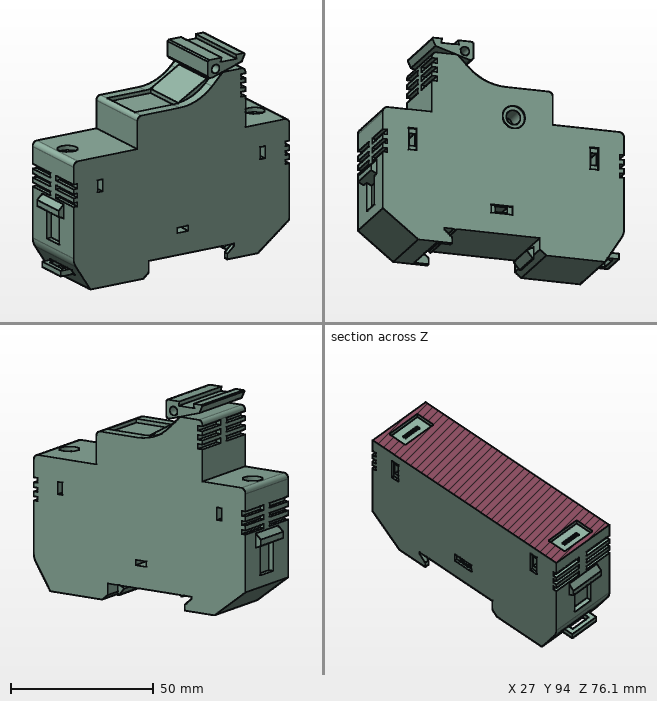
import cadquery as cq
import math


width = 27.0
half_length = 44.8
shelf_z = 48.6
tower_front_y = -18.3
tower_back_y = 26.6
deck_z = 60.7
crest_z = 70.7
ramp_top_y = 17.1
ramp_end_y = -0.75
shelf_edge_radius = 1.9
tower_edge_radius = 1.7
front_bevel_radius = 6.0

front_bevel_z = 11.1
front_bevel_y = -37.8
rear_bevel_z = 11.0
rear_bevel_y = 31.7
rear_foot_z = 0.8

rail_z = 6.2
seat_front_y = -13.5
seat_back_y = 22.0
hook_tip_y = 19.1
hook_tip_z = 3.0
hook_root_z = 5.5
foot_chamfer_y = -15.9
foot_chamfer_z = 2.0
hook_prong = 1.9
hook_gap_back_y = 24.4
rib_y = 17.9
rib_size = 0.6

wedge_width = 18.2
wedge_front_y = 1.4
wedge_front_z = 60.9
wedge_neck_y = 13.3
wedge_neck_z = 67.8
wedge_neck_top_z = 69.6
deck_recess_depth = 1.4
handle_width = 26.6
handle_top_z = 76.1
handle_bottom_z = 69.4
handle_front_y = 11.1
handle_heel_y = 12.8
handle_bevel = 0.6
handle_bottom_bevel = 0.75
groove_floor_z = 74.5
groove_front_y = 16.7
groove_back_y = 22.75
groove_undercut = 0.3
lip_root_y = 25.2
lip_root_z = 73.1
lip_tip_y = 26.4
lip_bevel = 0.4
pin_y = 14.3
pin_z = 72.4
pin_hole_radius = 1.6

vent_web = 3.8
vent_pitch = 3.3
vent_count = 3
vent_top_height = 1.8
tower_vent_z = 60.2
tower_vent_height = 1.8
tower_vent_depth = 1.9
end_vent_z = 31.9
end_vent_height = 1.5
end_vent_depth = 1.6

clip_width = 14.1
clip_y = 47.0
clip_top_z = 31.0
clip_nose_top_z = 29.0
clip_nose_bottom_z = 26.8
clip_root_bottom_z = 24.9
window_width = 8.1
window_bottom_z = 15.2
window_top_z = 26.3
window_depth = 1.9

screw_y = 38.8
screw_hole_radius = 3.6
screw_cover = 1.7
chamber_width = 14.1
chamber_length = 7.7
chamber_depth = 4.5
driver_slot_width = 1.3
driver_slot_length = 7.1
driver_slot_depth = 0.9

side_recess_long = 8.1
side_recess_short = 3.1
side_recess_depth = 0.9
side_hole_long = 4.5
side_hole_short = 2.0
upper_recess_y = 33.7
upper_recess_z = 37.8
lower_recess_y = 0.6
lower_recess_z = 15.2
lower_hole_shift = 0.2

pivot_y = -3.9
pivot_z = 49.9
pivot_outer_radius = 4.1
pivot_inner_radius = 2.6
pivot_outer_depth = 0.6
pivot_inner_depth = 9.4

latch_width = 14.1
latch_opening_bottom_z = 4.0
latch_opening_back_y = -39.0
latch_tab_width = 12.1
latch_tab_end_y = -45.5
latch_tab_thickness = 2.1
latch_slot_length = 8.1
latch_bar = 1.8
latch_nose_top_z = 5.0
latch_nose_tip_y = -10.8
latch_nose_tip_z = 3.4
latch_nose_heel_y = -13.1
latch_nose_bottom_z = 0.7
latch_nose_root = 0.9


def block(x0, x1, y0, y1, z0, z1):
    """Box between opposite corners."""
    return cq.Workplane("XY").box(x1 - x0, y1 - y0, z1 - z0, centered=False).translate((x0, y0, z0))


def across(points, part_width):
    """Side profile of (Y, Z) points, extruded evenly to both sides of mid-width."""
    return cq.Workplane("YZ").polyline(points).close().extrude(part_width / 2, both=True)


def side_cylinder(y, z, radius, depth):
    """Cylinder that enters the -X side."""
    return cq.Workplane("YZ", origin=(-width / 2, y, z)).circle(radius).extrude(depth)


def mirrored(solid):
    """The solid together with its copy at the other end."""
    return solid.union(solid.mirror("XZ"))


def round_edge(solid, y, z, radius):
    """Fillet the edge across the width at (y, z)."""
    return solid.edges(cq.selectors.NearestToPointSelector((0, y, z))).fillet(radius)


def make_housing():
    ramp_angle = math.radians(45)
    corner_y = ramp_top_y - (crest_z - deck_z)
    ramp_radius = (corner_y - ramp_end_y) / math.tan(ramp_angle / 2)
    arc_start = (
        ramp_end_y + ramp_radius * math.sin(ramp_angle),
        deck_z + ramp_radius * (1 - math.cos(ramp_angle)),
    )
    arc_middle = (
        ramp_end_y + ramp_radius * math.sin(ramp_angle / 2),
        deck_z + ramp_radius * (1 - math.cos(ramp_angle / 2)),
    )
    housing = (
        cq.Workplane("YZ")
        .moveTo(-half_length, front_bevel_z)
        .lineTo(-half_length, shelf_z)
        .lineTo(tower_front_y, shelf_z)
        .lineTo(tower_front_y, deck_z)
        .lineTo(ramp_end_y, deck_z)
        .threePointArc(arc_middle, arc_start)
        .lineTo(ramp_top_y, crest_z)
        .lineTo(tower_back_y, crest_z)
        .lineTo(tower_back_y, shelf_z)
        .lineTo(half_length, shelf_z)
        .lineTo(half_length, rear_bevel_z)
        .lineTo(rear_bevel_y, rear_foot_z)
        .lineTo(hook_tip_y, rear_foot_z)
        .lineTo(hook_tip_y, hook_tip_z)
        .lineTo(seat_back_y, hook_root_z)
        .lineTo(seat_back_y, rail_z)
        .lineTo(rib_y + rib_size, rail_z)
        .lineTo(rib_y, rail_z - rib_size)
        .lineTo(rib_y - rib_size, rail_z)
        .lineTo(seat_front_y, rail_z)
        .lineTo(seat_front_y, foot_chamfer_z)
        .lineTo(foot_chamfer_y, 0)
        .lineTo(front_bevel_y, 0)
        .close()
        .extrude(width / 2, both=True)
    )
    housing = round_edge(housing, -half_length, front_bevel_z, front_bevel_radius)
    for y in (-half_length, half_length):
        housing = round_edge(housing, y, shelf_z, shelf_edge_radius)
    housing = round_edge(housing, tower_front_y, deck_z, tower_edge_radius)
    return round_edge(housing, tower_back_y, crest_z, tower_edge_radius)


def make_hook_gap():
    """Gap between the two prongs of the rail hook."""
    half = width / 2 - hook_prong
    return block(-half, half, hook_tip_y, hook_gap_back_y, 0, rail_z)


def make_deck_recess():
    """Shallow pocket in the deck, in front of the wedge."""
    half = wedge_width / 2
    floor_z = deck_z - deck_recess_depth
    front_y = tower_front_y + tower_edge_radius
    return block(-half, half, front_y, wedge_front_y, floor_z, crest_z)


def make_wedge():
    return across(
        [
            (wedge_front_y, deck_z - deck_recess_depth),
            (wedge_front_y, wedge_front_z),
            (wedge_neck_y, wedge_neck_z),
            (wedge_neck_y, wedge_neck_top_z),
            (ramp_top_y, crest_z),
            (ramp_top_y, deck_z - deck_recess_depth),
        ],
        wedge_width,
    )


def make_handle():
    """Grip bar with an undercut groove on top and a cross hole for the pin."""
    handle = across(
        [
            (lip_tip_y - lip_bevel, handle_top_z),
            (groove_back_y, handle_top_z),
            (groove_back_y + groove_undercut, groove_floor_z),
            (groove_front_y - groove_undercut, groove_floor_z),
            (groove_front_y, handle_top_z),
            (handle_front_y + handle_bevel, handle_top_z),
            (handle_front_y, handle_top_z - handle_bevel),
            (handle_front_y, handle_bottom_z + handle_bottom_bevel),
            (handle_front_y + handle_bevel, handle_bottom_z),
            (handle_heel_y, handle_bottom_z),
            (lip_root_y, lip_root_z),
            (lip_tip_y, handle_top_z - lip_bevel),
        ],
        handle_width,
    )
    pin_hole = cq.Workplane("YZ").center(pin_y, pin_z).circle(pin_hole_radius).extrude(width, both=True)
    return handle.cut(pin_hole)


def make_vents(face_y, depth, bottom_z, height):
    """Rows of slots on both sides of a central web, cut into the +Y face at face_y."""
    vents = cq.Workplane("XY")
    for i in range(vent_count):
        z0 = bottom_z + i * vent_pitch
        z1 = z0 + (vent_top_height if i == vent_count - 1 else height)
        for x0, x1 in ((-width / 2, -vent_web / 2), (vent_web / 2, width / 2)):
            vents = vents.union(block(x0, x1, face_y - depth, face_y, z0, z1))
    return vents


def make_window():
    """Opening below the clip at the +Y end."""
    half = window_width / 2
    return block(-half, half, half_length - window_depth, half_length, window_bottom_z, window_top_z)


def make_clip():
    """Clip nose at the +Y end. Its underside runs on to the back of the window."""
    root_y = half_length - window_depth
    return across(
        [
            (root_y, clip_root_bottom_z),
            (clip_y, clip_nose_bottom_z),
            (clip_y, clip_nose_top_z),
            (half_length, clip_top_z),
            (root_y, clip_top_z),
        ],
        clip_width,
    )


def make_screw_cavity():
    """Access hole, chamber and driver slot of the screw in the +Y shelf."""
    chamber_floor_z = shelf_z - chamber_depth
    top = cq.Workplane("XY", origin=(0, screw_y, shelf_z))
    hole = top.circle(screw_hole_radius).extrude(-chamber_depth)
    chamber = (
        top.workplane(offset=-screw_cover)
        .rect(chamber_width, chamber_length)
        .extrude(screw_cover - chamber_depth)
    )
    slot = (
        cq.Workplane("XY", origin=(0, screw_y, chamber_floor_z))
        .rect(driver_slot_length, driver_slot_width)
        .extrude(-driver_slot_depth)
    )
    return hole.union(chamber).union(slot)


def side_pocket(y, z, y_size, z_size, depth):
    """Rectangular pocket that enters the -X side."""
    return cq.Workplane("YZ", origin=(-width / 2, y, z)).rect(y_size, z_size).extrude(depth)


def make_pivot():
    outer = side_cylinder(pivot_y, pivot_z, pivot_outer_radius, pivot_outer_depth)
    return outer.union(side_cylinder(pivot_y, pivot_z, pivot_inner_radius, pivot_inner_depth))


def make_latch_opening():
    """Opening in the front bevel that the latch tab passes through."""
    half = latch_width / 2
    return block(-half, half, -half_length, latch_opening_back_y, latch_opening_bottom_z, rail_z)


def make_latch_tab():
    """Pull tab of the rail latch, with a finger slot that runs back into the opening."""
    half = latch_tab_width / 2
    half_slot = latch_slot_length / 2
    bottom_z = rail_z - latch_tab_thickness
    slot_y = latch_tab_end_y + latch_bar
    tab = block(-half, half, latch_tab_end_y, latch_opening_back_y, bottom_z, rail_z)
    return tab.cut(block(-half_slot, half_slot, slot_y, latch_opening_back_y, bottom_z, rail_z))


def make_latch_nose():
    """Nose of the latch that grips the rail."""
    root_y = seat_front_y - latch_nose_root
    return across(
        [
            (root_y, latch_nose_top_z),
            (seat_front_y, latch_nose_top_z),
            (latch_nose_tip_y, latch_nose_tip_z),
            (latch_nose_heel_y, latch_nose_bottom_z),
            (seat_front_y, latch_nose_bottom_z),
            (seat_front_y, foot_chamfer_z),
            (root_y, latch_nose_tip_z),
        ],
        latch_width,
    )


result = make_housing()
result = result.cut(make_deck_recess())
result = result.cut(make_vents(tower_back_y, tower_vent_depth, tower_vent_z, tower_vent_height))
end_vents = make_vents(half_length, end_vent_depth, end_vent_z, end_vent_height)
result = result.cut(mirrored(end_vents))
result = result.cut(mirrored(make_window()))
result = result.cut(mirrored(make_screw_cavity()))
result = result.cut(make_pivot())
result = result.cut(make_hook_gap())
result = result.cut(make_latch_opening())

result = result.union(make_wedge()).union(make_handle())
result = result.union(mirrored(make_clip()))
result = result.union(make_latch_tab()).union(make_latch_nose())

for y in (-upper_recess_y, upper_recess_y):
    result = result.cut(
        side_pocket(y, upper_recess_z, side_recess_short, side_recess_long, side_recess_depth)
    )
    result = result.cut(side_pocket(y, upper_recess_z, side_hole_short, side_hole_long, width))

lower_hole_z = lower_recess_z + lower_hole_shift
result = result.cut(
    side_pocket(lower_recess_y, lower_recess_z, side_recess_long, side_recess_short, side_recess_depth)
)
result = result.cut(side_pocket(lower_recess_y, lower_hole_z, side_hole_long, side_hole_short, width))